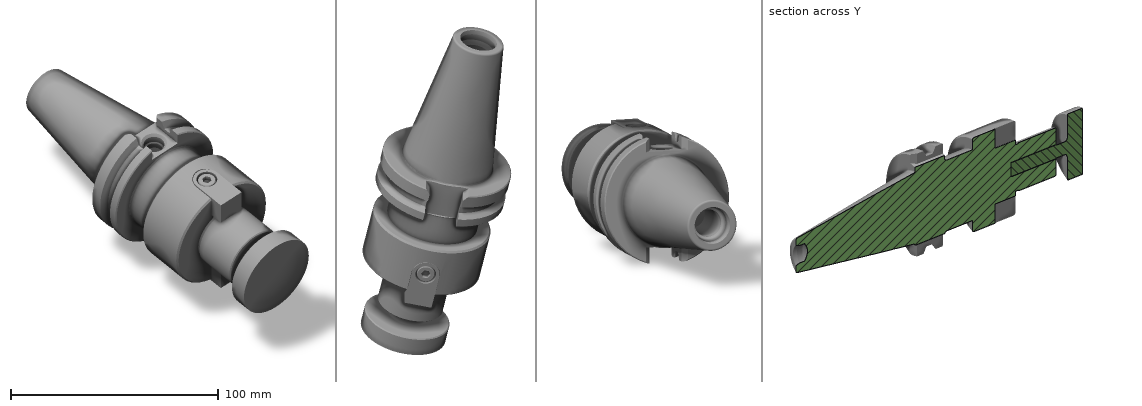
import cadquery as cq
import math


taper_small_radius = 12.4
taper_big_radius = 22.3
taper_tip_fillet = 1.0

bore_mouth_radius = 9.0
pilot_radius = 17.1 / 2
pilot_start_x = 2.0
pilot_end_x = 5.0
thread_bore_radius = 13.4 / 2
thread_bore_end_x = 31.8

flange_radius = 31.7
flange_start_x = 69.4
flange_end_x = 87.0
flange_edge_chamfer = 0.5
taper_root_fillet = 0.8
neck_root_fillet = 1.2
groove_radius = 28.2
groove_center_x = 79.1
groove_floor_width = 3.7
groove_mouth_width = 7.0

slot_width = 16.5
slot_top_floor_z = 24.5
slot_bottom_floor_z = -22.3
slot_mouth_chamfer = 2.3

index_mouth_diameter = 12.4
index_diameter = 10.0
index_depth = 4.5
index_core_diameter = 8.0
index_core_depth = 7.5
drill_point_angle = 118

neck_radius = 22.3
body_start_x = 102.9
body_end_x = 128.4
body_radius = 29.0
body_edge_chamfer = 0.8
undercut_radius = 15.6
undercut_end_x = 129.9
spigot_radius = 32.0 / 2
spigot_end_x = 152.0
spigot_edge_chamfer = 0.5

key_width = 13.4
key_pocket_width = 13.9
key_pocket_overcut = 1.7
key_center_x = 117.3
key_end_x = 135.0
key_bottom_z = 16.8
key_top_z = 28.7

key_counterbore_diameter = 10.0
key_clearance_diameter = 5.5
key_screw_diameter = 5.0
key_screw_head_diameter = 8.5
key_screw_head_chamfer = 0.3
key_screw_head_height = 3.5
key_screw_head_recess = 0.3
key_screw_body_depth = 8.4
hex_across_flats = 4.0
hex_depth = 2.3

clamp_shank_radius = 16.0 / 2
clamp_shank_start_x = 125.7
clamp_neck_fillet = 1.3
clamp_head_start_x = 158.4
clamp_head_radius = 41.9 / 2
clamp_head_chamfer = 0.5
clamp_end_x = 167.6


def revolve_about_x(points):
    """Solid of revolution about the X axis from (x, radius) points."""
    return cq.Workplane("XY").polyline(points).close().revolve(360, (0, 0, 0), (1, 0, 0))


def cylinder_z(diameter, z_start, z_end, x):
    """Upright cylinder centred on the XZ plane at x."""
    return cq.Workplane("XY", origin=(x, 0, z_start)).circle(diameter / 2).extrude(z_end - z_start)


def make_outer_form():
    floor_half = groove_floor_width / 2
    mouth_half = groove_mouth_width / 2
    turned = (
        cq.Workplane("XY")
        .moveTo(0, 0)
        .lineTo(0, taper_small_radius)
        .lineTo(flange_start_x - taper_root_fillet, taper_big_radius)
        .radiusArc((flange_start_x, taper_big_radius + taper_root_fillet), -taper_root_fillet)
        .lineTo(flange_start_x, flange_radius - flange_edge_chamfer)
        .lineTo(flange_start_x + flange_edge_chamfer, flange_radius)
        .lineTo(groove_center_x - mouth_half, flange_radius)
        .lineTo(groove_center_x - floor_half, groove_radius)
        .lineTo(groove_center_x + floor_half, groove_radius)
        .lineTo(groove_center_x + mouth_half, flange_radius)
        .lineTo(flange_end_x - flange_edge_chamfer, flange_radius)
        .lineTo(flange_end_x, flange_radius - flange_edge_chamfer)
        .lineTo(flange_end_x, neck_radius + neck_root_fillet)
        .radiusArc((flange_end_x + neck_root_fillet, neck_radius), -neck_root_fillet)
        .lineTo(body_start_x, neck_radius)
        .lineTo(body_start_x, body_radius - body_edge_chamfer)
        .lineTo(body_start_x + body_edge_chamfer, body_radius)
        .lineTo(body_end_x - body_edge_chamfer, body_radius)
        .lineTo(body_end_x, body_radius - body_edge_chamfer)
        .lineTo(body_end_x, undercut_radius)
        .lineTo(undercut_end_x, undercut_radius)
        .lineTo(undercut_end_x, spigot_radius)
        .lineTo(spigot_end_x - spigot_edge_chamfer, spigot_radius)
        .lineTo(spigot_end_x, spigot_radius - spigot_edge_chamfer)
        .lineTo(spigot_end_x, 0)
        .close()
        .revolve(360, (0, 0, 0), (1, 0, 0))
    )
    return turned.faces("<X").edges().fillet(taper_tip_fillet)


def make_pull_stud_bore():
    return revolve_about_x([
        (0, 0),
        (0, bore_mouth_radius),
        (pilot_start_x, pilot_radius),
        (pilot_end_x, pilot_radius),
        (pilot_end_x + pilot_radius - thread_bore_radius, thread_bore_radius),
        (thread_bore_end_x, thread_bore_radius),
        (thread_bore_end_x, 0),
    ])


def make_drive_slot(floor_z, side):
    """Cutter for one slot, widening at the taper-side face of the flange; side is +1 or -1 in Z."""
    half = slot_width / 2
    mouth_half = half + slot_mouth_chamfer
    return (
        cq.Workplane("XY", origin=(0, 0, floor_z))
        .moveTo(flange_start_x, -mouth_half)
        .lineTo(flange_start_x + slot_mouth_chamfer, -half)
        .lineTo(flange_end_x, -half)
        .lineTo(flange_end_x, half)
        .lineTo(flange_start_x + slot_mouth_chamfer, half)
        .lineTo(flange_start_x, mouth_half)
        .close()
        .extrude(side * flange_radius)
    )


def make_index_hole():
    mouth = index_mouth_diameter / 2
    radius = index_diameter / 2
    core = index_core_diameter / 2
    point_depth = core / math.tan(math.radians(drill_point_angle / 2))
    return (
        cq.Workplane("XZ", origin=(groove_center_x, 0, slot_top_floor_z))
        .moveTo(0, 0)
        .lineTo(mouth, 0)
        .lineTo(radius, radius - mouth)
        .lineTo(radius, -index_depth)
        .lineTo(core, -index_depth)
        .lineTo(core, -index_core_depth)
        .lineTo(0, -index_core_depth - point_depth)
        .close()
        .revolve(360, (0, 0, 0), (0, 1, 0))
    )


def make_key_blank(width, top_z):
    """Upper key outline, round towards the taper and square at the spigot end."""
    half = width / 2
    return (
        cq.Workplane("XY", origin=(0, 0, key_bottom_z))
        .moveTo(key_end_x, -half)
        .lineTo(key_end_x, half)
        .lineTo(key_center_x, half)
        .threePointArc((key_center_x - half, 0), (key_center_x, -half))
        .close()
        .extrude(top_z - key_bottom_z)
    )


def opposite(shape):
    """The same shape turned half a turn about the X axis."""
    return shape.rotate((0, 0, 0), (1, 0, 0), 180)


key_screw_top_z = key_top_z - key_screw_head_recess
key_screw_seat_z = key_screw_top_z - key_screw_head_height
key_screw_tip_z = key_bottom_z - key_screw_body_depth


def make_key():
    counterbore = cylinder_z(key_counterbore_diameter, key_screw_seat_z, key_top_z, key_center_x)
    clearance_hole = cylinder_z(key_clearance_diameter, key_bottom_z, key_top_z, key_center_x)
    return make_key_blank(key_width, key_top_z).cut(counterbore).cut(clearance_hole)


def make_key_screw():
    head = cylinder_z(key_screw_head_diameter, key_screw_seat_z, key_screw_top_z, key_center_x)
    head = head.faces(">Z").edges().chamfer(key_screw_head_chamfer)
    shank = cylinder_z(key_screw_diameter, key_screw_tip_z, key_screw_seat_z, key_center_x)
    hex_across_corners = hex_across_flats / math.cos(math.pi / 6)
    socket = (
        cq.Workplane("XY", origin=(key_center_x, 0, key_screw_top_z))
        .transformed(rotate=(0, 0, 90))
        .polygon(6, hex_across_corners)
        .extrude(-hex_depth)
    )
    return head.union(shank).cut(socket)


def make_clamp_screw():
    neck_start_x = clamp_head_start_x - clamp_neck_fillet
    return (
        cq.Workplane("XY")
        .moveTo(clamp_shank_start_x, 0)
        .lineTo(clamp_shank_start_x, clamp_shank_radius)
        .lineTo(neck_start_x, clamp_shank_radius)
        .radiusArc((clamp_head_start_x, clamp_shank_radius + clamp_neck_fillet), -clamp_neck_fillet)
        .lineTo(clamp_head_start_x, clamp_head_radius - clamp_head_chamfer)
        .lineTo(clamp_head_start_x + clamp_head_chamfer, clamp_head_radius)
        .lineTo(clamp_end_x, clamp_head_radius)
        .lineTo(clamp_end_x, 0)
        .close()
        .revolve(360, (0, 0, 0), (1, 0, 0))
    )


def make_arbor():
    arbor = make_outer_form().cut(make_pull_stud_bore())
    arbor = arbor.cut(make_drive_slot(slot_top_floor_z, 1))
    arbor = arbor.cut(make_drive_slot(slot_bottom_floor_z, -1))
    arbor = arbor.cut(make_index_hole())
    key_pocket = make_key_blank(key_pocket_width, body_radius + key_pocket_overcut)
    screw_hole = cylinder_z(key_screw_diameter, key_screw_tip_z, key_bottom_z, key_center_x)
    for pocket in (key_pocket, screw_hole):
        arbor = arbor.cut(pocket).cut(opposite(pocket))
    clamp_hole = revolve_about_x([
        (clamp_shank_start_x, 0),
        (clamp_shank_start_x, clamp_shank_radius),
        (spigot_end_x, clamp_shank_radius),
        (spigot_end_x, 0),
    ])
    return arbor.cut(clamp_hole)


arbor = make_arbor()
clamp_screw = make_clamp_screw()
keys = []
key_screws = []
for angle in (0, 180):
    keys.append(make_key().rotate((0, 0, 0), (1, 0, 0), angle))
    key_screws.append(make_key_screw().rotate((0, 0, 0), (1, 0, 0), angle))

small_bodies = [body.val() for body in keys + key_screws]
result = cq.Compound.makeCompound([arbor.val(), clamp_screw.val(), *small_bodies])